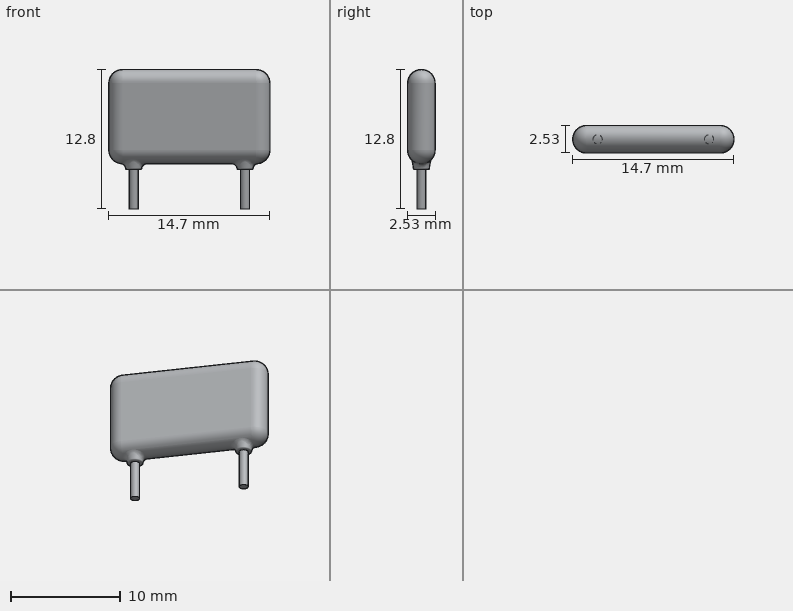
import cadquery as cq
import math

case_length = 14.73
case_thickness = 2.53
case_height = 8.62
rim_radius = case_thickness / 2
case_bottom = 0.0

lead_pitch = 10.16
lead_diameter = 0.84
lead_length = 3.61

collar_drop = 0.52
collar_tip_radius = 0.72
collar_taper = 9.0
collar_edge_radius = 0.13
collar_blend_radius = 0.47

collar_bottom = case_bottom - collar_drop
collar_top = case_bottom + rim_radius
collar_height = collar_top - collar_bottom
collar_top_radius = collar_tip_radius + collar_height * math.tan(math.radians(collar_taper))
lead_positions = [-lead_pitch / 2, lead_pitch / 2]


def make_rounded_slab():
    """Flat core edged with round bars and posts, with a sphere at each corner."""
    core_length = case_length - 2 * rim_radius
    core_height = case_height - 2 * rim_radius
    core_bottom = case_bottom + rim_radius
    core_top = core_bottom + core_height
    slab = cq.Workplane("XY").box(core_length, case_thickness, core_height)
    slab = slab.translate((0, 0, core_bottom + core_height / 2))
    for z in (core_bottom, core_top):
        bar = cq.Workplane("YZ").circle(rim_radius).extrude(core_length)
        slab = slab.union(bar.translate((-core_length / 2, 0, z)))
    for x in (-core_length / 2, core_length / 2):
        post = cq.Workplane("XY").circle(rim_radius).extrude(core_height)
        slab = slab.union(post.translate((x, 0, core_bottom)))
        for z in (core_bottom, core_top):
            slab = slab.union(cq.Workplane("XY").sphere(rim_radius).translate((x, 0, z)))
    return slab.clean()


def make_collar(x):
    """Tapered boss with a rounded lower edge, widening up into the case."""
    cone = cq.Solid.makeCone(
        collar_tip_radius, collar_top_radius, collar_height, pnt=cq.Vector(x, 0, collar_bottom)
    )
    return cq.Workplane(obj=cone).faces("<Z").edges().fillet(collar_edge_radius)


def collar_joint(case, x):
    """Edges where the collar at x meets the case."""
    reach = collar_top_radius + collar_edge_radius
    lowest = collar_bottom + 2 * collar_edge_radius
    joint = cq.selectors.BoxSelector(
        (x - reach, -reach, lowest), (x + reach, reach, collar_top), boundingbox=False
    )
    return case.faces("%CONE").edges(joint)


def make_case():
    """Rounded slab with both collars blended into its underside."""
    case = make_rounded_slab()
    for x in lead_positions:
        case = case.union(make_collar(x))
    for x in lead_positions:
        case = collar_joint(case, x).fillet(collar_blend_radius)
    return case


def make_lead(x):
    """Round wire hanging from the flat end of its collar."""
    lead = cq.Workplane("XY").circle(lead_diameter / 2).extrude(-lead_length)
    return lead.translate((x, 0, collar_bottom))


case = make_case()
leads = [make_lead(x) for x in lead_positions]

result = cq.Compound.makeCompound([case.val(), *[lead.val() for lead in leads]])